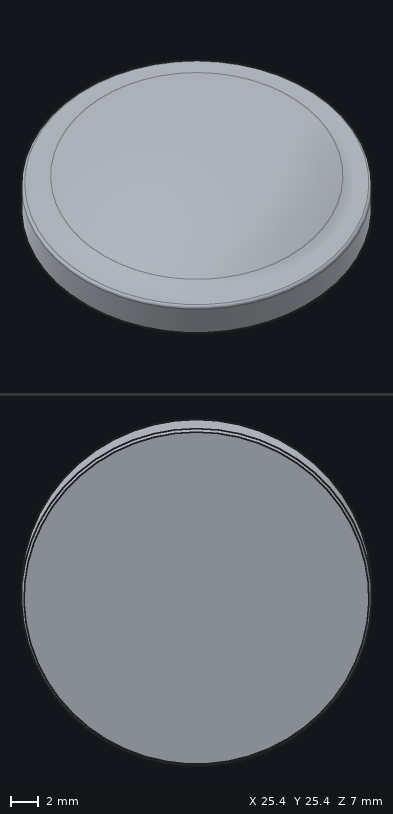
import cadquery as cq
import math

outer_radius = 12.7
total_height = 7.0

bottom_chamfer = 0.2
top_round = 0.25

dome_radius = 18.3
dome_edge_radius = 10.6

dome_slope = math.asin(dome_edge_radius / dome_radius)
rim_slope = math.radians(6)
round_center_radius = outer_radius - top_round
blend_outer_radius = round_center_radius + top_round * math.sin(rim_slope)
blend_width = blend_outer_radius - dome_edge_radius
blend_radius = blend_width / (math.sin(dome_slope) - math.sin(rim_slope))


def dome_point(slope):
    """Point (radius, height) where the dome falls away at the given slope."""
    drop = dome_radius * (1 - math.cos(slope))
    return (dome_radius * math.sin(slope), total_height - drop)


def blend_point(slope):
    """Point (radius, height) where the blend falls away at the given slope."""
    edge_radius, edge_height = dome_point(dome_slope)
    run = blend_radius * (math.sin(dome_slope) - math.sin(slope))
    drop = blend_radius * (math.cos(slope) - math.cos(dome_slope))
    return (edge_radius + run, edge_height - drop)


rim_point = blend_point(rim_slope)
wall_top = rim_point[1] - top_round * math.cos(rim_slope)
profile = (
    cq.Workplane("XZ")
    .lineTo(outer_radius - bottom_chamfer, 0)
    .lineTo(outer_radius, bottom_chamfer)
    .lineTo(outer_radius, wall_top)
    .tangentArcPoint(rim_point, relative=False)
    .threePointArc(blend_point((dome_slope + rim_slope) / 2), dome_point(dome_slope))
    .threePointArc(dome_point(dome_slope / 2), (0, total_height))
    .close()
)
result = profile.revolve(360, (0, 0, 0), (0, 1, 0))